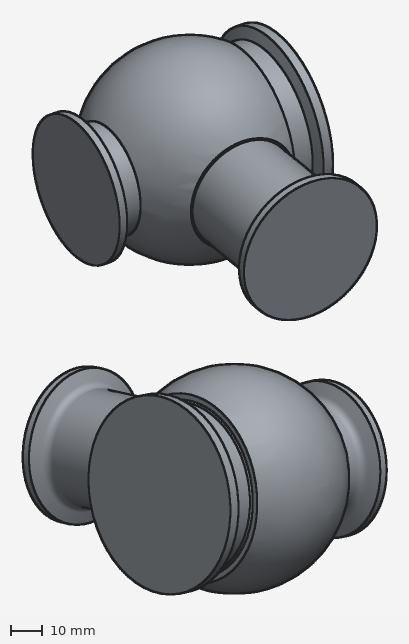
import cadquery as cq
import math

body_diameter = 73.0
side_cut = 30.7
front_cut = 31.1
back_cut = 20.0

overall_length = 106.4
overall_width = 76.4
side_reach = overall_length - body_diameter / 2
back_reach = 33.4
front_reach = overall_width - back_reach

pipe_diameter = 38.1
ferrule_diameter = 50.4
ferrule_rim = 2.9
neck_radius = 2.9

back_pipe_diameter = 55.7
back_flange_diameter = 63.9
back_flange_rim = 3.6
seat_chamfer = 0.6

cone_angle = math.radians(20)


def make_body():
    radius = body_diameter / 2
    trim = (
        cq.Workplane("XY")
        .box(radius + side_cut, front_cut + back_cut, body_diameter)
        .translate(((side_cut - radius) / 2, (back_cut - front_cut) / 2, 0))
    )
    return cq.Workplane("XY").sphere(radius).intersect(trim)


def revolve_about_y(profile):
    return profile.close().revolve(360, (0, 0, 0), (0, 1, 0))


def small_port(reach):
    """Solid port along +Y: a pipe that blends into a conical ferrule."""
    pipe_radius = pipe_diameter / 2
    rim_radius = ferrule_diameter / 2

    def on_blend(turn):
        """Offset of a blend point outward and along the axis from its start on the pipe."""
        return neck_radius * (1 - math.cos(turn)), neck_radius * math.sin(turn)

    full_turn = math.pi / 2 - cone_angle
    mid_out, mid_along = on_blend(full_turn / 2)
    end_out, end_along = on_blend(full_turn)
    rim_start = reach - ferrule_rim
    cone_height = (rim_radius - pipe_radius - end_out) * math.tan(cone_angle)
    blend_start = rim_start - cone_height - end_along

    profile = (
        cq.Workplane("XY")
        .lineTo(pipe_radius, 0)
        .lineTo(pipe_radius, blend_start)
        .threePointArc(
            (pipe_radius + mid_out, blend_start + mid_along),
            (pipe_radius + end_out, blend_start + end_along),
        )
        .lineTo(rim_radius, rim_start)
        .lineTo(rim_radius, reach)
        .lineTo(0, reach)
    )
    return revolve_about_y(profile)


def back_port():
    """Solid port along +Y: a short wide pipe with a plain conical flange."""
    pipe_radius = back_pipe_diameter / 2
    rim_radius = back_flange_diameter / 2
    rim_start = back_reach - back_flange_rim
    cone_start = rim_start - (rim_radius - pipe_radius) * math.tan(cone_angle)

    profile = (
        cq.Workplane("XY")
        .lineTo(pipe_radius + seat_chamfer, 0)
        .lineTo(pipe_radius + seat_chamfer, back_cut)
        .lineTo(pipe_radius, back_cut + seat_chamfer)
        .lineTo(pipe_radius, cone_start)
        .lineTo(rim_radius, rim_start)
        .lineTo(rim_radius, back_reach)
        .lineTo(0, back_reach)
    )
    return revolve_about_y(profile)


def turned_about_z(port, angle):
    return port.rotate((0, 0, 0), (0, 0, 1), angle)


result = (
    make_body()
    .union(turned_about_z(small_port(side_reach), -90))
    .union(turned_about_z(small_port(front_reach), 180))
    .union(back_port())
)